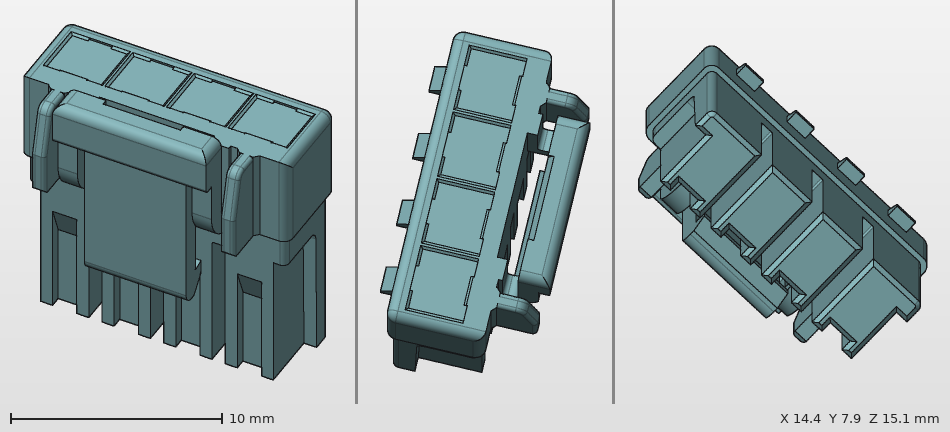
import cadquery as cq

OVERLAP = 0.2

contact_count = 4
pitch = 3.3
contact_xs = [(i - (contact_count - 1) / 2) * pitch for i in range(contact_count)]
gap_xs = [x + pitch / 2 for x in contact_xs[:-1]]

plug_width = 13.82
plug_depth = 4.22
plug_corner_radius = 0.33
plug_end_chamfer = 0.23
gap_width = 0.7
gap_top = 7.43
gap_radius = 0.1
finger_groove_width = 1.29
finger_groove_depth = 0.57
finger_groove_top = 6.0
finger_groove_ramp_bottom = 4.47
side_step_width = 0.68
side_step_depth_top = 3.0
side_step_depth_bottom = 3.1
side_step_radius = 0.48

head_width = 14.36
head_front = -0.3
head_back = 4.48
head_bottom = 9.17
head_top = 14.0
head_radius = 0.5
pocket_half_width = 3.07

opening_width = 3.18
opening_front = 0.845
opening_back = 3.66
opening_depth = 0.1
opening_taper = 0.13
back_relief_width = 1.22
front_key_width = 1.43
front_key_top = 0.05
front_key_floor = 0.16

wedge_width = 1.19
wedge_tip = 5.1
wedge_bottom = 11.37
wedge_tip_top = 11.8
wedge_root_top = 12.55

latch_width = 8.22
latch_back = -1.25
latch_arm_front = -2.25
arm_root_front = -0.5
arm_inner_radius = 0.5
arm_root_fillet = 0.25
arm_thickness = latch_back - latch_arm_front
pad_front = -2.8
pad_bottom = 12.9
pad_top = 15.1
pad_radius = 0.5
pad_lower_radius = 0.17
pad_notch_width = 4.14
pad_notch_depth = 0.29
pad_notch_height = 0.5
tongue_width = 5.45
tongue_front = -2.2
tongue_bottom = 5.1
tongue_tip_radius = 0.55
slot_end_ratio = 0.48
hook_tip = -0.69
hook_top = 6.72
hook_root_top = 6.57
hook_tip_bottom = 5.98
hook_toe = -1.41

rib_x = 5.06
rib_width = 0.74
rib_front = -2.48
rib_ramp_bottom = 11.42
rib_crest_radius = 0.55
rib_crest_y = -1.87
rib_edge_radius = 0.2
rib_bevel = 0.22
rib_flare = 0.23


def box(x_range, y_range, z_range):
    """Box spanning the given ranges."""
    spans = (x_range, y_range, z_range)
    sizes = [high - low for low, high in spans]
    return cq.Workplane("XY").box(*sizes, centered=False).translate(tuple(low for low, _ in spans))


def centred(x, width):
    return (x - width / 2, x + width / 2)


def extrude_along_x(profile, x, width):
    """Extrude a YZ profile symmetrically about the given X position."""
    return profile.extrude(width / 2, both=True).translate((x, 0, 0))


def yz_polygon(points):
    return cq.Workplane("YZ").polyline(points).close()


def make_side_step(side):
    """Cutter for the step along one outer front corner of the plug."""
    outline = yz_polygon([
        (-OVERLAP, -OVERLAP),
        (side_step_depth_bottom, -OVERLAP),
        (side_step_depth_top, gap_top),
        (-OVERLAP, gap_top),
    ])
    step = extrude_along_x(outline, side * plug_width / 2, 2 * side_step_width)
    return step.faces(">Z").edges(">Y").fillet(side_step_radius)


def make_finger_groove(x):
    """Cutter for the open groove on the front of one finger, with a sloping roof."""
    outline = yz_polygon([
        (0, -OVERLAP),
        (finger_groove_depth, -OVERLAP),
        (finger_groove_depth, finger_groove_ramp_bottom),
        (0, finger_groove_top),
    ])
    return extrude_along_x(outline, x, finger_groove_width)


def make_plug():
    plug = box(centred(0, plug_width), (0, plug_depth), (0, head_bottom + OVERLAP))
    plug = plug.edges("|Z").fillet(plug_corner_radius)
    for side in (-1, 1):
        plug = plug.cut(make_side_step(side))
    for x in gap_xs:
        gap = box(centred(x, gap_width), (-OVERLAP, plug_depth + OVERLAP), (-OVERLAP, gap_top))
        plug = plug.cut(gap.edges("|Y and >Z").fillet(gap_radius))
    for x in contact_xs:
        plug = plug.cut(make_finger_groove(x))
    return plug.faces("<Z").edges().chamfer(plug_end_chamfer)


def make_opening(x):
    """Cutter for one shallow wire opening: tapered sides and back, straight front."""
    z_floor = head_top - opening_depth
    floor_width = opening_width - 2 * opening_taper
    floor_back = opening_back - opening_taper
    depth_at_top = opening_back - opening_front
    depth_at_floor = floor_back - opening_front
    opening = (
        cq.Workplane("XY", origin=(x, opening_front + depth_at_floor / 2, z_floor))
        .rect(floor_width, depth_at_floor)
        .workplane(offset=opening_depth)
        .center(0, (depth_at_top - depth_at_floor) / 2)
        .rect(opening_width, depth_at_top)
        .loft(ruled=True)
    )
    relief = box(
        centred(x, back_relief_width),
        (floor_back - OVERLAP, opening_back),
        (z_floor, head_top),
    )
    key_outline = yz_polygon([
        (opening_front, z_floor),
        (opening_front + front_key_floor, z_floor),
        (opening_front + front_key_top, head_top),
        (opening_front, head_top),
    ])
    key = extrude_along_x(key_outline, x, front_key_width)
    return opening.union(relief).cut(key)


def make_head():
    head = box(centred(0, head_width), (head_front, head_back), (head_bottom, head_top))
    return head.edges("|Z or (>Z and (not <Y))").fillet(head_radius)


def make_wedge(x):
    outline = yz_polygon([
        (head_back - OVERLAP, wedge_bottom),
        (wedge_tip, wedge_bottom),
        (wedge_tip, wedge_tip_top),
        (head_back, wedge_root_top),
        (head_back - OVERLAP, wedge_root_top),
    ])
    return extrude_along_x(outline, x, wedge_width)


def make_latch_arms():
    """J-shaped arms that leave the head at its bottom and rise to the pad."""
    outer_radius = arm_root_front - latch_arm_front
    inner_bottom = head_bottom + arm_thickness
    outline = (
        cq.Workplane("YZ")
        .moveTo(head_front + OVERLAP, head_bottom)
        .lineTo(arm_root_front, head_bottom)
        .radiusArc((latch_arm_front, head_bottom + outer_radius), outer_radius)
        .lineTo(latch_arm_front, pad_bottom + OVERLAP)
        .lineTo(latch_back, pad_bottom + OVERLAP)
        .lineTo(latch_back, inner_bottom + arm_inner_radius)
        .radiusArc((latch_back + arm_inner_radius, inner_bottom), -arm_inner_radius)
        .radiusArc((arm_root_front, inner_bottom + arm_root_fillet), -arm_root_fillet)
        .lineTo(arm_root_front, head_top)
        .lineTo(head_front + OVERLAP, head_top)
        .close()
    )
    return extrude_along_x(outline, 0, latch_width)


def make_pad():
    pad = box(centred(0, latch_width), (pad_front, latch_back), (pad_bottom, pad_top))
    pad = pad.faces(">Z").edges("not >Y").fillet(pad_radius)
    pad = pad.faces("<Z").edges("<Y").fillet(pad_lower_radius)
    notch_outline = yz_polygon([
        (latch_back, pad_top),
        (latch_back - pad_notch_depth, pad_top),
        (latch_back, pad_top - pad_notch_height),
    ])
    return pad.cut(extrude_along_x(notch_outline, 0, pad_notch_width))


def make_tongue():
    """Flat tongue hanging from the pad, ending in an inward hook."""
    outline = yz_polygon([
        (latch_back, pad_bottom + OVERLAP),
        (latch_back, hook_root_top),
        (hook_tip, hook_top),
        (hook_tip, hook_tip_bottom),
        (hook_toe, tongue_bottom),
        (tongue_front, tongue_bottom),
        (tongue_front, pad_bottom + OVERLAP),
    ])
    tongue = extrude_along_x(outline, 0, tongue_width)
    return tongue.faces("<Z").edges("<Y").fillet(tongue_tip_radius)


def make_arm_clearance():
    """Cutter that separates the arms: a pocket in the head and a round-topped slot beside each arm."""
    slot_width = pocket_half_width - tongue_width / 2
    z_start = head_bottom - OVERLAP
    clearance = box(
        centred(0, 2 * pocket_half_width),
        (latch_back, 0),
        (z_start, head_top + OVERLAP),
    )
    for side in (-1, 1):
        slot_x = side * (pocket_half_width - slot_width / 2)
        slot = box(centred(slot_x, slot_width), (latch_arm_front, latch_back), (z_start, pad_bottom))
        slot = slot.faces(">Z").edges("|Y").fillet(slot_end_ratio * slot_width)
        clearance = clearance.union(slot)
    tongue_front_space = box(centred(0, tongue_width), (latch_arm_front, latch_back), (z_start, pad_bottom))
    return clearance.union(tongue_front_space)


def make_rib(side):
    """Guard rib with rounded side edges, a bevelled lower front corner and a flared root."""
    x = side * rib_x
    rib = extrude_along_x(
        yz_polygon([
            (head_front + OVERLAP, head_bottom),
            (rib_front, head_bottom),
            (rib_front, rib_ramp_bottom),
            (rib_crest_y, head_top),
            (head_front + OVERLAP, head_top),
        ]),
        x,
        rib_width,
    )
    rib = rib.faces(">Z").edges("<Y").fillet(rib_crest_radius)
    rib = rib.edges("(<X or >X) and (not >Y) and (not <Z)").fillet(rib_edge_radius)
    bevel = yz_polygon([
        (rib_front, head_bottom),
        (rib_front + rib_bevel, head_bottom),
        (rib_front, head_bottom + rib_bevel),
    ])
    rib = rib.cut(extrude_along_x(bevel, x, rib_width))
    root_half_width = rib_width / 2 + rib_flare
    flare = (
        cq.Workplane("XY", origin=(x, head_front, head_bottom))
        .polyline([
            (-root_half_width, 0),
            (-rib_width / 2, -rib_flare),
            (rib_width / 2, -rib_flare),
            (root_half_width, 0),
        ])
        .close()
        .extrude(head_top - head_bottom)
    )
    return rib.union(flare)


def make_housing():
    housing = make_head().union(make_latch_arms()).union(make_pad()).cut(make_arm_clearance())
    housing = housing.union(make_tongue()).union(make_plug())
    for side in (-1, 1):
        housing = housing.union(make_rib(side))
    for x in contact_xs:
        housing = housing.cut(make_opening(x)).union(make_wedge(x))
    return housing.clean()


result = make_housing()